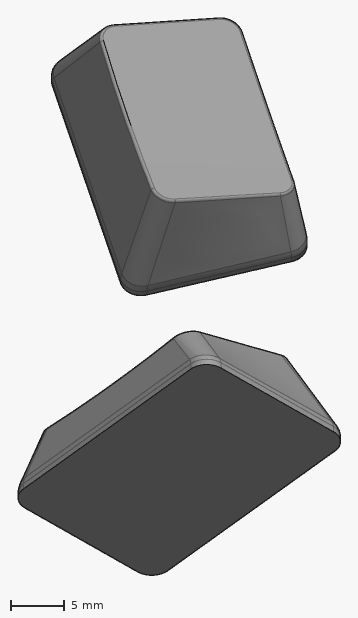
import cadquery as cq
import math

base_width = 27.69
base_depth = 18.16
skirt_height = 0.65
corner_radius = 2.0

blend_height = 0.66

rim_width = 21.15
rim_corner_radius = 1.85
rim_front_y = -5.1
rim_back_y = 8.65
rim_front_z = 9.95
tilt_angle = 15.65
rim_edge_radius = 0.3

dish_depth = 0.45
dish_overrun = 10.0

tilt = math.radians(tilt_angle)
downhill = cq.Vector(0, math.cos(tilt), -math.sin(tilt))
rim_normal = cq.Vector(0, math.sin(tilt), math.cos(tilt))
rim_depth = (rim_back_y - rim_front_y) / math.cos(tilt)
rim_back_z = rim_front_z - (rim_back_y - rim_front_y) * math.tan(tilt)
rim_center = cq.Vector(0, (rim_front_y + rim_back_y) / 2, (rim_front_z + rim_back_z) / 2)
dish_radius = ((rim_width / 2) ** 2 + dish_depth ** 2) / (2 * dish_depth)

wall_foot_z = skirt_height + blend_height / 2
side_inset = (base_width - rim_width) / 2
front_lean = (rim_front_y + base_depth / 2) / (rim_front_z - wall_foot_z)
back_lean = (base_depth / 2 - rim_back_y) / (rim_back_z - wall_foot_z)
side_lean_front = side_inset / (rim_front_z - wall_foot_z)
side_lean_back = side_inset / (rim_back_z - wall_foot_z)


def level_section(height, rise):
    """Rounded outline at a height, with each side moved in by its lean times rise."""
    front_x = base_width / 2 - side_lean_front * rise
    back_x = base_width / 2 - side_lean_back * rise
    front_y = -base_depth / 2 + front_lean * rise
    back_y = base_depth / 2 - back_lean * rise
    corners = [
        (-front_x, front_y),
        (front_x, front_y),
        (back_x, back_y),
        (-back_x, back_y),
        (-front_x, front_y),
    ]
    outline = cq.Sketch().polygon(corners).vertices().fillet(corner_radius)
    return outline.moved(cq.Location(cq.Vector(0, 0, height)))


def rim_section():
    """Rounded rectangle in the tilted plane of the rim."""
    outline = cq.Sketch().rect(rim_width, rim_depth).vertices().fillet(rim_corner_radius)
    return outline.moved(cq.Location(rim_center, cq.Vector(1, 0, 0), -tilt_angle))


def make_skirt():
    return cq.Workplane("XY").placeSketch(level_section(0, 0)).extrude(skirt_height)


def make_blend():
    """Band whose profile is a parabola, upright at the skirt and leaning with the walls on top."""
    sections = []
    for fraction in (0, 0.5, 1):
        rise = fraction ** 2 * blend_height / 2
        sections.append(level_section(skirt_height + fraction * blend_height, rise))
    return cq.Workplane("XY").placeSketch(*sections).loft()


def make_walls():
    """Four straight-ruled walls with rounded corners, from the blend up to the tilted rim."""
    foot = level_section(skirt_height + blend_height, blend_height / 2)
    return cq.Workplane("XY").placeSketch(foot, rim_section()).loft(ruled=True)


def make_dish():
    """Cylinder that crosses the rim plane along the two side edges of the rim."""
    length = rim_depth + 2 * dish_overrun
    center = rim_center + rim_normal * (dish_radius - dish_depth)
    start = center - downhill * (length / 2)
    return cq.Workplane(cq.Solid.makeCylinder(dish_radius, length, start, downhill))


body = make_skirt().union(make_blend()).union(make_walls())
body = body.cut(make_dish())
result = body.faces(">Z").edges().fillet(rim_edge_radius)